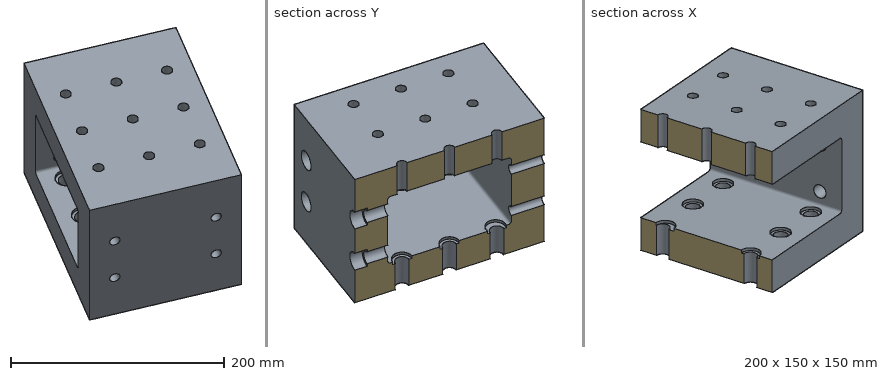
import cadquery as cq

LENGTH = 200.0
WIDTH = 150.0
HEIGHT = 150.0

WINDOW_LENGTH = 130.0
WINDOW_HEIGHT = 80.0
WINDOW_CORNER_RADIUS = 3.0
END_WALL = (LENGTH - WINDOW_LENGTH) / 2
PLATE = (HEIGHT - WINDOW_HEIGHT) / 2

PITCH = 50.0
TAPPED_DIAMETER = 10.2
CLEARANCE_DIAMETER = 14.0
COUNTERBORE_DIAMETER = 20.0
FLOOR_COUNTERBORE_DEPTH = 3.0
CORNER_COUNTERBORE_OFFSET = 2.8
END_COUNTERBORE_DEPTH = 13.0

X_COLUMNS = (-PITCH, 0, PITCH)
Y_ROWS = (-PITCH, 0, PITCH)
OUTER_Y_ROWS = (-PITCH, PITCH)
Z_ROWS = (-PITCH / 2, PITCH / 2)


def grid(first_values, second_values):
    """All pairs of the given coordinates."""
    return [(first, second) for first in first_values for second in second_values]


def drill(plane, start, points, diameter, depth):
    """Cylinders starting at an offset along the plane normal and running along it."""
    start_plane = cq.Workplane(plane).workplane(offset=start)
    return start_plane.pushPoints(points).circle(diameter / 2).extrude(depth)


window = (
    cq.Workplane("XY")
    .box(WINDOW_LENGTH, WIDTH, WINDOW_HEIGHT)
    .edges("|Y")
    .fillet(WINDOW_CORNER_RADIUS)
)
frame = cq.Workplane("XY").box(LENGTH, WIDTH, HEIGHT).cut(window)

top_holes = drill("XY", WINDOW_HEIGHT / 2, grid(X_COLUMNS, Y_ROWS), TAPPED_DIAMETER, PLATE)

floor_points = grid(X_COLUMNS, OUTER_Y_ROWS)
floor_holes = drill("XY", -HEIGHT / 2, floor_points, CLEARANCE_DIAMETER, PLATE)
corner_point = (PITCH, -PITCH)
floor_counterbore_points = [point for point in floor_points if point != corner_point]
floor_counterbore_points.append((PITCH, -PITCH + CORNER_COUNTERBORE_OFFSET))
floor_counterbores = drill(
    "XY", -WINDOW_HEIGHT / 2, floor_counterbore_points, COUNTERBORE_DIAMETER, -FLOOR_COUNTERBORE_DEPTH
)

end_points = grid(OUTER_Y_ROWS, Z_ROWS)
end_holes = drill("YZ", -LENGTH / 2, end_points, CLEARANCE_DIAMETER, END_WALL)
end_counterbores = drill("YZ", -LENGTH / 2, end_points, COUNTERBORE_DIAMETER, END_COUNTERBORE_DEPTH)

far_end_holes = drill("YZ", WINDOW_LENGTH / 2, end_points, TAPPED_DIAMETER, END_WALL)

result = (
    frame.cut(top_holes)
    .cut(floor_holes)
    .cut(floor_counterbores)
    .cut(end_holes)
    .cut(end_counterbores)
    .cut(far_end_holes)
)